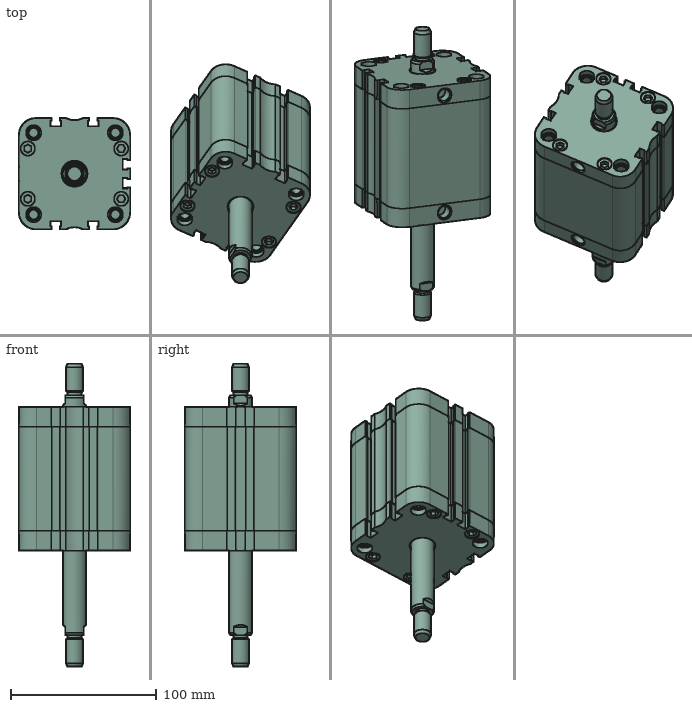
import cadquery as cq
import math


total_length = 209.0
upper_rod_reach = 29.9
lower_rod_reach = 80.0
cap_height = 13.5
housing_top = total_length - upper_rod_reach
barrel_bottom = lower_rod_reach + cap_height
barrel_top = housing_top - cap_height
housing_middle = (lower_rod_reach + housing_top) / 2

housing_width = 77.0
half_width = housing_width / 2
corner_radius = 12.0
cap_draft = 0.3

slot_opening = 5.5
barrel_lip_round = 0.5
slot_inner_width = 6.7
cap_slot_clearance = 0.5
side_slot_depth = 5.6
end_slot_depth = 5.0
slot_lip = 2.0
side_slot_offset = 13.0
end_slot_offset = 6.5

groove_width = 12.0
groove_depth = 1.5

mount_offset = 28.2
mount_counterbore = 10.5
mount_counterbore_depth = 4.4
mount_countersink = 8.2
mount_hole = 6.7

screw_x = 32.2
screw_y = 17.3
screw_head = 9.8
screw_recess = 0.8
hex_flats = 5.0
hex_depth = 3.1

port_inset = 7.3
port_hole = 8.5
port_mouth = 10.5
port_depth = 9.0

rod_diameter = 16.0
cap_bore = 16.5
rod_mouth = 18.0
thread_diameter = 12.0
undercut_diameter = 9.8
tip_chamfer_length = 2.5
thread_end = 18.8
undercut_start = 19.9
shoulder_start = 21.7
flats_end = 27.4
shoulder_chamfer = 1.0
shoulder_chamfer_length = 1.7
flats_width = 13.0


def housing_outline(z):
    """Rounded square with the two grooves, before the slots are cut."""
    straight = half_width - corner_radius
    groove_half = groove_width / 2
    groove_floor = half_width - groove_depth
    outline = cq.Workplane("XY", origin=(0, 0, z)).moveTo(-straight, -half_width)
    outline = outline.lineTo(-groove_half, -half_width)
    outline = outline.threePointArc((0, -groove_floor), (groove_half, -half_width))
    outline = outline.lineTo(straight, -half_width)
    outline = outline.radiusArc((half_width, -straight), -corner_radius)
    outline = outline.lineTo(half_width, straight)
    outline = outline.radiusArc((straight, half_width), -corner_radius)
    outline = outline.lineTo(groove_half, half_width)
    outline = outline.threePointArc((0, groove_floor), (-groove_half, half_width))
    outline = outline.lineTo(-straight, half_width)
    outline = outline.radiusArc((-half_width, straight), -corner_radius)
    outline = outline.lineTo(-half_width, -straight)
    return outline.radiusArc((-straight, -half_width), -corner_radius).close()


def slot_cutter(clearance, depth, offset, side_turn):
    """T-slot over the full height, `offset` along the +X side, turned to another side about Z."""
    opening = slot_opening + 2 * clearance
    inner_width = slot_inner_width + 2 * clearance
    neck = cq.Workplane("XY").box(2 * slot_lip, opening, total_length, centered=(True, True, False))
    pocket_depth = depth - slot_lip
    pocket = cq.Workplane("XY").box(pocket_depth, inner_width, total_length, centered=(True, True, False))
    slot = neck.union(pocket.translate((-slot_lip - pocket_depth / 2, 0, 0)))
    return slot.translate((half_width, offset, 0)).rotate((0, 0, 0), (0, 0, 1), side_turn)


def cut_slots(body, clearance):
    """Cuts a pair of T-slots in the +X, +Y and -Y sides."""
    for side in (-1, 1):
        body = body.cut(slot_cutter(clearance, end_slot_depth, side * end_slot_offset, 0))
        body = body.cut(slot_cutter(clearance, side_slot_depth, side * side_slot_offset, 90))
        body = body.cut(slot_cutter(clearance, side_slot_depth, side * side_slot_offset, -90))
    return body


def round_slot_mouths(barrel):
    """Rounds the upright outer edges of every slot opening in the barrel."""
    reach = slot_opening / 2 + barrel_lip_round
    mouths = []
    for side in (-1, 1):
        mouths.append((half_width, side * end_slot_offset))
        mouths.append((side * side_slot_offset, half_width))
        mouths.append((side * side_slot_offset, -half_width))
    for x, y in mouths:
        along_x = barrel_lip_round if x == half_width else reach
        along_y = reach if x == half_width else barrel_lip_round
        mouth_box = cq.selectors.BoxSelector(
            (x - along_x, y - along_y, barrel_bottom),
            (x + along_x, y + along_y, barrel_top),
        )
        barrel = barrel.edges("|Z").edges(mouth_box).fillet(barrel_lip_round)
    return barrel


def make_barrel():
    barrel = housing_outline(barrel_bottom).extrude(barrel_top - barrel_bottom)
    barrel = cut_slots(barrel, 0)
    barrel = round_slot_mouths(barrel)
    return barrel.faces(">Z").workplane(origin=(0, 0, barrel_top)).hole(rod_diameter)


def countersink(wide, narrow):
    """45 degree cone with its wide end at z = 0, narrowing downwards."""
    depth = (wide - narrow) / 2
    return cq.Solid.makeCone(narrow / 2, wide / 2, depth, pnt=cq.Vector(0, 0, -depth))


def mount_cutter():
    """Stepped mounting hole through the cap, mouth at z = 0."""
    hole = cq.Workplane("XY").circle(mount_hole / 2).extrude(-cap_height)
    counterbore = cq.Workplane("XY").circle(mount_counterbore / 2).extrude(-mount_counterbore_depth)
    cone = countersink(mount_countersink, mount_hole).translate(cq.Vector(0, 0, -mount_counterbore_depth))
    return hole.union(counterbore).union(cq.Workplane(cone))


def screw_cutter(turn):
    """Shallow recess over a screw head with its hexagon socket, mouth at z = 0."""
    hex_corners = hex_flats / math.cos(math.radians(30))
    recess = cq.Workplane("XY").circle(screw_head / 2).extrude(-screw_recess)
    socket = cq.Workplane("XY").polygon(6, hex_corners).extrude(-screw_recess - hex_depth)
    return recess.union(socket.rotate((0, 0, 0), (0, 0, 1), turn))


def port_cutter():
    """Countersunk blind hole running in the +X direction, mouth at x = 0."""
    hole = cq.Workplane("XY").circle(port_hole / 2).extrude(-port_depth)
    port = hole.union(cq.Workplane(countersink(port_mouth, port_hole)))
    return port.rotate((0, 0, 0), (0, 1, 0), -90)


def make_upper_cap():
    cap = housing_outline(barrel_top).extrude(cap_height, taper=cap_draft)
    cap = cut_slots(cap, cap_slot_clearance)
    bore = cq.Workplane("XY", origin=(0, 0, barrel_top)).circle(cap_bore / 2).extrude(cap_height)
    cap = cap.cut(bore)
    rod_chamfer = countersink(rod_mouth, cap_bore)
    cap = cap.cut(cq.Workplane(rod_chamfer.translate(cq.Vector(0, 0, housing_top))))
    for x_side in (-1, 1):
        socket_turn = 30 if x_side < 0 else 0
        for y_side in (-1, 1):
            mount_place = (x_side * mount_offset, y_side * mount_offset, housing_top)
            screw_place = (x_side * screw_x, y_side * screw_y, housing_top)
            cap = cap.cut(mount_cutter().translate(mount_place))
            cap = cap.cut(screw_cutter(socket_turn).translate(screw_place))
    return cap.cut(port_cutter().translate((-half_width, 0, housing_top - port_inset)))


def make_lower_cap(upper_cap):
    return upper_cap.mirror("XY", (0, 0, housing_middle))


def flat_cutter():
    """Cuts one wrench flat on the -X side of an upright rod end whose tip is at z = 0."""
    flat_x = -flats_width / 2
    outer_x = -rod_diameter
    run_out = flat_x - outer_x
    profile = [
        (flat_x, -shoulder_start),
        (flat_x, -flats_end),
        (outer_x, -flats_end - run_out),
        (outer_x, -shoulder_start),
    ]
    return cq.Workplane("XZ").polyline(profile).close().extrude(rod_diameter / 2, both=True)


def rod_half(length):
    """Upright rod end with its threaded tip at z = 0, reaching down to z = -length."""
    rod_radius = rod_diameter / 2
    thread_radius = thread_diameter / 2
    undercut_radius = undercut_diameter / 2
    profile = [
        (0, 0),
        (undercut_radius, 0),
        (thread_radius, -tip_chamfer_length),
        (thread_radius, -thread_end),
        (undercut_radius, -undercut_start),
        (undercut_radius, -shoulder_start),
        (rod_radius - shoulder_chamfer, -shoulder_start),
        (rod_radius, -shoulder_start - shoulder_chamfer_length),
        (rod_radius, -length),
        (0, -length),
    ]
    half = cq.Workplane("XZ").polyline(profile).close().revolve(360, (0, 0, 0), (0, 1, 0))
    flat = flat_cutter()
    return half.cut(flat).cut(flat.mirror("YZ"))


def make_rod():
    """One rod through the whole cylinder, with the same end at both tips."""
    half = rod_half(total_length / 2)
    upper = half.translate((0, 0, total_length))
    return upper.union(half.mirror("XY"))


barrel = make_barrel()
upper_cap = make_upper_cap()
lower_cap = make_lower_cap(upper_cap)
rod = make_rod()

result = cq.Compound.makeCompound([barrel.val(), upper_cap.val(), lower_cap.val(), rod.val()])